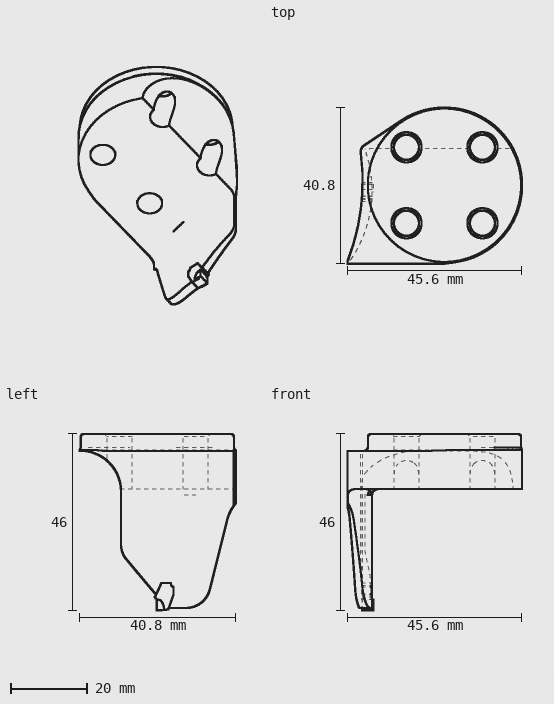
import cadquery as cq
import math


disc_radius = 20.0
disc_height = 3.5
disc_edge_fillet = 0.8
flare_radius = 0.9
plate_radius = 20.27
plate_thickness = 10.0
plate_top_z = -(disc_height + flare_radius)
plate_bottom_z = plate_top_z - plate_thickness

hole_diameter = 6.5
hole_rim_diameter = 7.9
bolt_circle_diameter = 28.0

front_flat_y = -20.5
tip_x = -25.3
front_taper_angle = 8.2
front_taper_blend = 10.0
back_slope_angle = 33.8
back_corner_radius = 2.0

outer_arc_radius = 57.0
outer_apex_x = -21.35
outer_apex_y = 1.0
inner_arc_radius = 32.0
inner_apex_x = -18.85
inner_apex_y = -1.4
blade_root_fillet = 1.5
blade_bottom_z = -45.4

back_edge_y = 9.5
back_cove_radius = 10.5
back_bend_z = -31.0
back_bend_radius = 6.0
back_lean_angle = 40.0
heel_y = -12.5
heel_radius = 6.5
front_lean_angle = 14.0
front_cove_radius = 10.5

insert_top_back = (-1.1, -38.8)
insert_top_front = (-3.5, -38.8)
insert_seat_relief = (-3.65, -39.55)
insert_shoulder_top = (-4.25, -39.95)
insert_shoulder_bottom = (-4.25, -41.75)
insert_bottom_front = (-2.85, -45.75)
insert_neck = (0.2, -43.15)
insert_lug = (0.7, -42.55)
insert_clamp_end = (0.3, -41.85)
cutting_corner_front = (-0.65, -46.0)
cutting_corner_back = (0.2, -46.0)
cutting_land_top = (-0.7, -43.25)
cutting_land_middle = (-1.3, -44.0)
cutting_land_bottom = (-1.75, -45.85)
cutting_width = 3.0
cutting_offset = 0.1

reach = 40.0


def cos_deg(angle):
    return math.cos(math.radians(angle))


def sin_deg(angle):
    return math.sin(math.radians(angle))


def tan_deg(angle):
    return math.tan(math.radians(angle))


def rounded_outline(plane, corners):
    """Closed outline through (u, v, radius) corners, each rounded by its radius (0 = sharp)."""
    stretches = []
    for i, (u, v, radius) in enumerate(corners):
        corner = cq.Vector(u, v)
        to_previous = (cq.Vector(*corners[i - 1][:2]) - corner).normalized()
        to_next = (cq.Vector(*corners[(i + 1) % len(corners)][:2]) - corner).normalized()
        if radius == 0:
            stretches.append([corner])
            continue
        half_angle = to_previous.getAngle(to_next) / 2
        setback = radius / math.tan(half_angle)
        bisector = (to_previous + to_next).normalized()
        middle = corner + bisector * (radius / math.sin(half_angle) - radius)
        stretches.append([corner + to_previous * setback, middle, corner + to_next * setback])

    outline = cq.Workplane(plane).moveTo(*stretches[0][0].toTuple()[:2])
    for i, stretch in enumerate(stretches):
        if i > 0:
            outline = outline.lineTo(*stretch[0].toTuple()[:2])
        if len(stretch) > 1:
            outline = outline.threePointArc(stretch[1].toTuple()[:2], stretch[2].toTuple()[:2])
    return outline.close()


def flared_collar(radius, fillet, wide_z, narrow_z):
    """Round collar at the origin that widens from radius in a concave quarter fillet to wide_z."""
    curve_x = radius + fillet * (1 - cos_deg(45))
    curve_z = narrow_z + (wide_z - narrow_z) * sin_deg(45)
    return (
        cq.Workplane("XZ")
        .moveTo(0, narrow_z)
        .lineTo(radius, narrow_z)
        .threePointArc((curve_x, curve_z), (radius + fillet, wide_z))
        .lineTo(0, wide_z)
        .close()
        .revolve(360, (0, 0, 0), (0, 1, 0))
    )


def cylinder(x, y, radius, top_z, bottom_z):
    return (
        cq.Workplane("XY", origin=(x, y, bottom_z)).circle(radius).extrude(top_z - bottom_z)
    )


def plan_prism(top_z, bottom_z):
    """Plan outline of plate and blade, extruded between two heights."""
    taper_touch = (
        plate_radius * sin_deg(front_taper_angle),
        -plate_radius * cos_deg(front_taper_angle),
    )
    slope_touch = (
        -plate_radius * sin_deg(back_slope_angle),
        plate_radius * cos_deg(back_slope_angle),
    )
    taper_corner_x = taper_touch[0] - (taper_touch[1] - front_flat_y) / tan_deg(front_taper_angle)
    slope_end_y = slope_touch[1] - (slope_touch[0] - tip_x) * tan_deg(back_slope_angle)
    outline = rounded_outline("XY", [
        (tip_x, front_flat_y, 0),
        (taper_corner_x, front_flat_y, front_taper_blend),
        (*taper_touch, 0),
        (*slope_touch, 0),
        (tip_x, slope_end_y, 0),
    ])
    prism = outline.extrude(top_z - bottom_z).translate((0, 0, bottom_z))
    round_side = cylinder(0, 0, plate_radius, top_z, bottom_z)
    outer_center = (outer_apex_x - outer_arc_radius, outer_apex_y)
    outer_arc = cylinder(*outer_center, outer_arc_radius, top_z, bottom_z)
    prism = prism.union(round_side).cut(outer_arc)
    back_corner = prism.edges("|Z").edges(cq.selectors.BoxSelector(
        (tip_x, back_edge_y - back_corner_radius, bottom_z - 1),
        (outer_apex_x, back_edge_y + back_corner_radius, top_z + 1),
    ))
    return back_corner.fillet(back_corner_radius)


def side_prism():
    """Side outline of the head, extruded along X across the whole part."""
    heel_rise = plate_bottom_z - blade_bottom_z
    front_cove_y = heel_y - heel_rise * tan_deg(front_lean_angle)
    toe_y = back_edge_y - (back_bend_z - blade_bottom_z) * tan_deg(back_lean_angle)
    outline = rounded_outline("YZ", [
        (-reach, 0, 0),
        (-reach, plate_bottom_z, 0),
        (front_cove_y, plate_bottom_z, front_cove_radius),
        (heel_y, blade_bottom_z, heel_radius),
        (toe_y, blade_bottom_z, 0),
        (back_edge_y, back_bend_z, back_bend_radius),
        (back_edge_y, plate_top_z, back_cove_radius),
        (reach, plate_top_z, 0),
        (reach, 0, 0),
    ])
    return outline.extrude(reach, both=True)


def coupling_disc():
    disc = cylinder(0, 0, disc_radius, 0, -disc_height)
    return disc.faces(">Z").edges().fillet(disc_edge_fillet)


def mounting_holes():
    """Four drilled holes with chamfered rims, as one cutting tool."""
    pitch = bolt_circle_diameter / math.sqrt(2)
    rim_depth = (hole_rim_diameter - hole_diameter) / 2
    centers = cq.Workplane("XY").rect(pitch, pitch, forConstruction=True).vertices()
    drills = centers.circle(hole_diameter / 2).extrude(plate_bottom_z)
    rims = centers.circle(hole_rim_diameter / 2).extrude(-rim_depth, taper=45)
    return drills.union(rims)


def insert_prism(left_x, right_x):
    """Outline of the insert extruded across the blade between two X positions."""
    outline = [
        insert_top_back,
        insert_top_front,
        insert_seat_relief,
        insert_shoulder_top,
        insert_shoulder_bottom,
        insert_bottom_front,
        cutting_corner_front,
        cutting_corner_back,
        insert_neck,
        insert_lug,
        insert_clamp_end,
    ]
    return cq.Workplane("YZ", origin=(left_x, 0, 0)).polyline(outline).close().extrude(right_x - left_x)


def cutting_tip():
    """Wider cutting end of the insert, with a curved chip face boundary."""
    middle_x = (outer_apex_x + inner_apex_x) / 2 + cutting_offset
    return (
        cq.Workplane("YZ", origin=(middle_x, 0, 0))
        .moveTo(*cutting_corner_back)
        .lineTo(*insert_neck)
        .lineTo(*cutting_land_top)
        .threePointArc(cutting_land_middle, cutting_land_bottom)
        .lineTo(*cutting_corner_front)
        .close()
        .extrude(cutting_width / 2, both=True)
    )


def tool_head():
    plate = plan_prism(plate_top_z, plate_bottom_z)
    collar = flared_collar(disc_radius, flare_radius, plate_top_z, -disc_height)
    collar = collar.intersect(plan_prism(-disc_height, plate_top_z))

    inner_center = (inner_apex_x - inner_arc_radius, inner_apex_y)
    blade_core = cylinder(*inner_center, inner_arc_radius, plate_bottom_z, blade_bottom_z)
    root_z = plate_bottom_z - blade_root_fillet
    root = flared_collar(inner_arc_radius, blade_root_fillet, plate_bottom_z, root_z)
    root = root.translate((*inner_center, 0))
    blade = plan_prism(plate_bottom_z, blade_bottom_z).intersect(blade_core.union(root))

    head = plate.union(blade).union(collar).union(coupling_disc())
    return head.intersect(side_prism()).cut(mounting_holes())


insert = insert_prism(outer_apex_x, inner_apex_x).union(cutting_tip())
insert_seat = insert_prism(tip_x, 0)
head = tool_head().cut(insert_seat).cut(insert)

result = cq.Compound.makeCompound([head.val(), insert.val()])